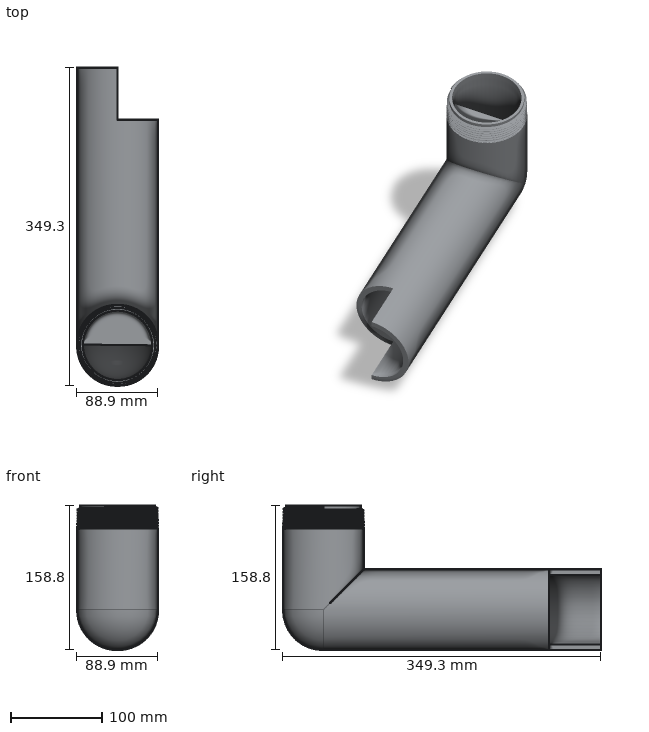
import cadquery as cq
import math

OUTER_RADIUS = 88.9 / 2
BORE_RADIUS = 76.2 / 2
OUTLET_LENGTH = 304.8
INLET_HEIGHT = 114.3

LIP_LENGTH = 57.15

THREAD_LENGTH = 25.4
PITCH = 3.175
THREAD_DEPTH = 0.8 * PITCH
RADIUS_TAPER = 1 / 32
FLANK_ANGLE = math.radians(30)
THREAD_TURNS = 7
CREST_WIDTH = 0.15
ROOT_OVERLAP = 0.05

SHOULDER_HEIGHT = INLET_HEIGHT - THREAD_LENGTH
ROOT_RADIUS = OUTER_RADIUS - THREAD_DEPTH
RIM_RADIUS = ROOT_RADIUS - THREAD_LENGTH * RADIUS_TAPER


def elbow(radius, inlet_height):
    """Solid elbow: two cylinders joined by a ball at the outside of the bend."""
    ball = cq.Workplane("XY").sphere(radius)
    inlet = cq.Workplane("XY").circle(radius).extrude(inlet_height)
    outlet = cq.Workplane("XZ").circle(radius).extrude(-OUTLET_LENGTH)
    return inlet.union(outlet).union(ball)


def thread_core():
    """Cone at the thread root, from the shoulder up to the rim."""
    return (
        cq.Workplane("XY", origin=(0, 0, SHOULDER_HEIGHT))
        .circle(ROOT_RADIUS)
        .workplane(offset=THREAD_LENGTH)
        .circle(RIM_RADIUS)
        .loft()
    )


def thread_ridge():
    """Right-hand helical ridge that follows the taper of the cone."""
    ridge_height = THREAD_DEPTH + ROOT_OVERLAP
    half_crest = CREST_WIDTH / 2
    half_base = half_crest + ridge_height * math.tan(FLANK_ANGLE)
    taper_angle = math.degrees(math.atan(RADIUS_TAPER))
    helix = cq.Wire.makeHelix(
        PITCH,
        THREAD_TURNS * PITCH,
        ROOT_RADIUS,
        cq.Vector(0, 0, SHOULDER_HEIGHT),
        angle=-taper_angle,
    )
    inner_radius = ROOT_RADIUS - ROOT_OVERLAP
    crest_radius = ROOT_RADIUS + THREAD_DEPTH
    return (
        cq.Workplane("XZ")
        .moveTo(inner_radius, SHOULDER_HEIGHT - half_base)
        .lineTo(crest_radius, SHOULDER_HEIGHT - half_crest)
        .lineTo(crest_radius, SHOULDER_HEIGHT + half_crest)
        .lineTo(inner_radius, SHOULDER_HEIGHT + half_base)
        .close()
        .sweep(cq.Workplane(obj=helix), isFrenet=True)
    )


def lip_cut():
    """Block that removes the +X half of the pipe wall at the open end."""
    return (
        cq.Workplane("XY", origin=(0, OUTLET_LENGTH - LIP_LENGTH, 0))
        .box(OUTER_RADIUS, LIP_LENGTH, 2 * OUTER_RADIUS, centered=(False, False, True))
    )


body = elbow(OUTER_RADIUS, SHOULDER_HEIGHT).union(thread_core())
body = body.cut(elbow(BORE_RADIUS, INLET_HEIGHT)).cut(lip_cut())
result = body.union(thread_ridge())